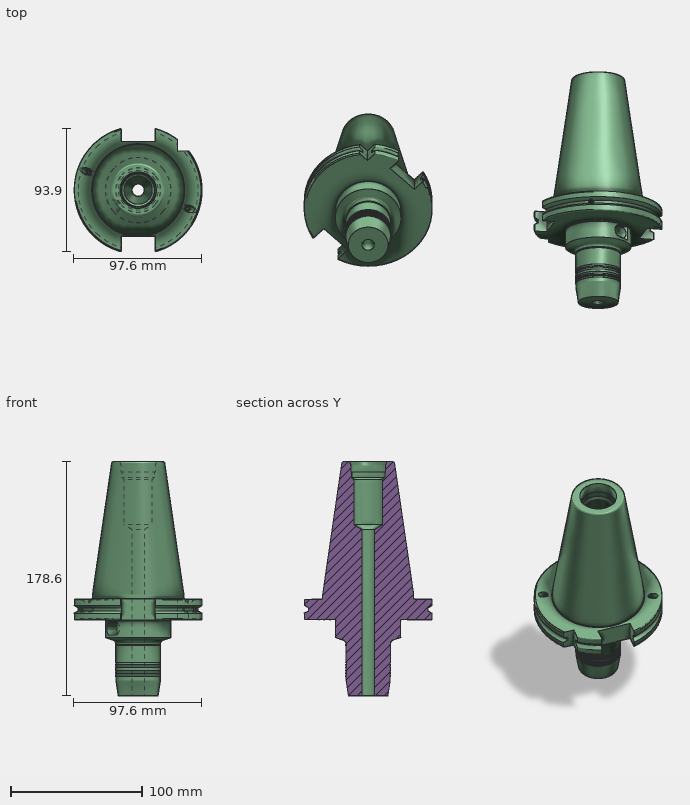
import cadquery as cq
import math

total_height = 178.6

gauge_z = 77.0
gauge_diameter = 69.8
taper_ratio = 7 / 24
taper_tip_round = 1.8

flange_radius = 48.8
flange_bottom_z = 57.9
flange_top_z = 73.8
flange_edge_round = 0.9
flange_root_chamfer = 0.5
groove_z = 65.9
groove_floor_radius = 45.7
groove_floor_width = 2.3
groove_wall_angle = 30.0
groove_edge_round = 0.4

slot_width = 25.7
slot_floor_front = 35.2
slot_floor_back = 37.1
slot_mouth_chamfer = 0.5
notch_corner = 30.0

coolant_angle = 160.0
coolant_circle_radius = 42.0
coolant_tilt = 40.0
coolant_bore_radius = 2.7
coolant_bore_depth = 2.9
coolant_drill_radius = 1.5
coolant_drill_depth = 9.0
cross_hole_radius = 2.0
cross_hole_depth = 9.0

hub_radius = 25.0
hub_bottom_z = 44.3
hub_relief_height = 0.9
hub_relief_depth = 0.2

nose_radius = 17.1
nose_top_z = 41.8
nose_root_round = 2.7
nose_step_z = 14.8
nose_front_radius = 17.0
nose_taper_z = 11.6
nose_tip_radius = 15.2
nose_groove_depth = 0.27
nose_groove_spans = [(16.0, 17.0), (18.0, 19.5), (21.5, 22.9), (24.0, 25.4), (38.4, 39.3)]

pocket_y = -12.9
pocket_z = 51.5
pocket_radius = 5.2
pocket_floor_x = -16.3
drill_point_angle = 118.0

mouth_radius = 14.0
mouth_depth = 3.2
counterbore_radius = 13.0
counterbore_depth = 7.9
pilot_radius = 12.5
pilot_depth = 12.1
thread_radius = 10.7
thread_depth = 48.2
through_radius = 4.6

edge_tolerance = 0.02

overshoot = 1.8

gauge_radius = gauge_diameter / 2
taper_tip_radius = gauge_radius - (total_height - gauge_z) * taper_ratio / 2
groove_half_floor = groove_floor_width / 2
groove_half_mouth = groove_half_floor + (flange_radius - groove_floor_radius) * math.tan(
    math.radians(groove_wall_angle)
)
drill_point_slope = math.tan(math.radians(drill_point_angle / 2))


def revolve(points):
    """Revolve a closed outline of (radius, z) points about the Z axis."""
    return cq.Workplane("XZ").polyline(points).close().revolve(360, (0, 0), (0, 1))


def round_ring(body, z, radius, size):
    """Fillet the circular edge of the given radius lying at height z."""
    reach = radius + edge_tolerance
    low_corner = (-reach, -reach, z - edge_tolerance)
    high_corner = (reach, reach, z + edge_tolerance)
    near_ring = body.edges(cq.selectors.BoxSelector(low_corner, high_corner, boundingbox=True)).vals()
    circles = [edge for edge in near_ring if edge.geomType() == "CIRCLE"]
    rings = [edge for edge in circles if abs(edge.radius() - radius) < edge_tolerance]
    return body.newObject(rings).fillet(size)


def make_body():
    """Turned outside shape, from nose to taper tip."""
    body = revolve([
        (0, 0),
        (nose_tip_radius, 0),
        (nose_front_radius, nose_taper_z),
        (nose_front_radius, nose_step_z),
        (nose_radius, nose_step_z),
        (nose_radius, nose_top_z),
        (hub_radius, hub_bottom_z),
        (hub_radius, flange_bottom_z - hub_relief_height),
        (hub_radius - hub_relief_depth, flange_bottom_z - hub_relief_height),
        (hub_radius - hub_relief_depth, flange_bottom_z),
        (flange_radius, flange_bottom_z),
        (flange_radius, groove_z - groove_half_mouth),
        (groove_floor_radius, groove_z - groove_half_floor),
        (groove_floor_radius, groove_z + groove_half_floor),
        (flange_radius, groove_z + groove_half_mouth),
        (flange_radius, flange_top_z),
        (gauge_radius + flange_root_chamfer, flange_top_z),
        (gauge_radius, flange_top_z + flange_root_chamfer),
        (gauge_radius, gauge_z),
        (taper_tip_radius, total_height),
        (0, total_height),
    ])
    body = round_ring(body, total_height, taper_tip_radius, taper_tip_round)
    body = round_ring(body, nose_top_z, nose_radius, nose_root_round)
    for z in (flange_bottom_z, flange_top_z):
        body = round_ring(body, z, flange_radius, flange_edge_round)
    for side in (-1, 1):
        body = round_ring(body, groove_z + side * groove_half_mouth, flange_radius, groove_edge_round)
    return body


def nose_groove(bottom_z, top_z):
    """Shallow ring cut into the cylindrical nose."""
    ring = cq.Workplane("XY").workplane(offset=bottom_z).circle(nose_radius + overshoot)
    return ring.circle(nose_radius - nose_groove_depth).extrude(top_z - bottom_z)


def axial_bore():
    """Stepped drawbar bore from the taper tip, continuing as a through hole."""
    cone_depth = (thread_radius - through_radius) / drill_point_slope
    return revolve([
        (0, total_height),
        (mouth_radius, total_height),
        (counterbore_radius, total_height - mouth_depth),
        (counterbore_radius, total_height - counterbore_depth),
        (pilot_radius, total_height - counterbore_depth),
        (pilot_radius, total_height - pilot_depth),
        (thread_radius, total_height - pilot_depth - (pilot_radius - thread_radius)),
        (thread_radius, total_height - thread_depth),
        (through_radius, total_height - thread_depth - cone_depth),
        (through_radius, 0),
        (0, 0),
    ])


def drive_slot(floor_distance, side):
    """Slot through the flange rim with chamfered mouth; side is -1 or 1 along Y."""
    half_width = slot_width / 2
    half_mouth = half_width + slot_mouth_chamfer
    mouth_y = math.sqrt(flange_radius**2 - half_mouth**2)
    outside_y = flange_radius + overshoot
    right_half = [
        (half_width, floor_distance),
        (half_width, mouth_y - slot_mouth_chamfer),
        (half_mouth, mouth_y),
        (half_mouth, outside_y),
    ]
    left_half = [(-x, y) for x, y in reversed(right_half)]
    outline = [(x, side * y) for x, y in right_half + left_half]
    plane = cq.Workplane("XY").workplane(offset=flange_bottom_z)
    return plane.polyline(outline).close().extrude(flange_top_z - flange_bottom_z)


def orientation_notch():
    """Square corner notch through the flange at +X +Y."""
    size = flange_radius - notch_corner
    height = flange_top_z - flange_bottom_z
    return cq.Workplane("XY").box(size, size, height, centered=False).translate(
        (notch_corner, notch_corner, flange_bottom_z)
    )


def cylinder(start, direction, radius, depth):
    """Solid cylinder starting at a point and running along a direction."""
    return cq.Workplane(cq.Solid.makeCylinder(radius, depth, cq.Vector(*start), cq.Vector(*direction)))


def coolant_hole(angle):
    """Stepped hole leaning inward from the flange top, met by a cross hole from the V-groove."""
    tilt = math.radians(coolant_tilt)
    inward = (-math.sin(tilt), 0, -math.cos(tilt))
    outward = tuple(-c for c in inward)
    mouth = (coolant_circle_radius, 0, flange_top_z)
    bore = cylinder(mouth, inward, coolant_bore_radius, coolant_bore_depth)
    clearance = cylinder(mouth, outward, coolant_bore_radius, 2 * coolant_bore_radius)
    drill = cylinder(mouth, inward, coolant_drill_radius, coolant_drill_depth)
    cross_start = (groove_floor_radius + overshoot, 0, groove_z)
    cross = cylinder(cross_start, (-1, 0, 0), cross_hole_radius, cross_hole_depth + overshoot)
    hole = bore.union(clearance).union(drill).union(cross)
    return hole.rotate((0, 0, 0), (0, 0, 1), angle)


def screw_pocket():
    """Drilled pocket entering from -X, opened sideways through the hub wall toward -Y."""
    length = hub_radius + pocket_floor_x + overshoot
    floor = (pocket_floor_x, pocket_y, pocket_z)
    hole = cylinder(floor, (-1, 0, 0), pocket_radius, length)
    side_opening = cq.Workplane("XY").box(length, hub_radius, 2 * pocket_radius, centered=(False, False, True))
    side_opening = side_opening.translate((pocket_floor_x - length, pocket_y - hub_radius, pocket_z))
    point = cq.Workplane(cq.Solid.makeCone(
        pocket_radius, 0, pocket_radius / drill_point_slope, cq.Vector(*floor), cq.Vector(1, 0, 0)
    ))
    return hole.union(side_opening).union(point)


result = make_body().cut(axial_bore())
for groove_bottom, groove_top in nose_groove_spans:
    result = result.cut(nose_groove(groove_bottom, groove_top))
result = result.cut(drive_slot(slot_floor_front, -1))
result = result.cut(drive_slot(slot_floor_back, 1))
result = result.cut(orientation_notch())
for angle in (coolant_angle, coolant_angle - 180):
    result = result.cut(coolant_hole(angle))
result = result.cut(screw_pocket())